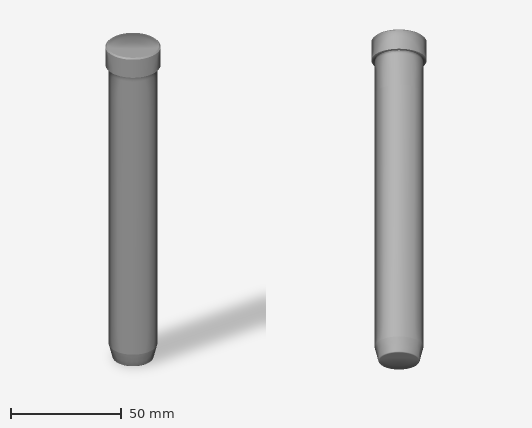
import cadquery as cq

total_length = 160.0
head_radius = 25.0 / 2
head_height = 10.0
head_chamfer = 0.6
shank_radius = 22.0 / 2

collar_length = 27.2
undercut_height = 0.8
undercut_depth = 0.2

lead_length = 7.0
tip_radius = 9.3
tip_rounding = 0.5

head_underside = total_length - head_height
joint_height = total_length - collar_length


def make_collar():
    """Head with a chamfered top, above a short shank with a shallow undercut that flares out below."""
    neck_radius = shank_radius - undercut_depth
    undercut_bottom = head_underside - undercut_height
    return (
        cq.Workplane("XZ")
        .moveTo(0, joint_height)
        .lineTo(shank_radius, joint_height)
        .lineTo(shank_radius, undercut_bottom)
        .lineTo(neck_radius, undercut_bottom + undercut_height / 2)
        .lineTo(neck_radius, head_underside)
        .lineTo(head_radius, head_underside)
        .lineTo(head_radius, total_length - head_chamfer)
        .lineTo(head_radius - head_chamfer, total_length)
        .lineTo(0, total_length)
        .close()
        .revolve(360, (0, 0), (0, 1))
    )


def make_shaft():
    """Plain shaft with a conical lead-in and a rounded tip edge."""
    shaft = (
        cq.Workplane("XZ")
        .lineTo(tip_radius, 0)
        .lineTo(shank_radius, lead_length)
        .lineTo(shank_radius, joint_height)
        .lineTo(0, joint_height)
        .close()
        .revolve(360, (0, 0), (0, 1))
    )
    return shaft.faces("<Z").edges().fillet(tip_rounding)


collar = make_collar()
shaft = make_shaft()

result = cq.Compound.makeCompound([collar.val(), shaft.val()])